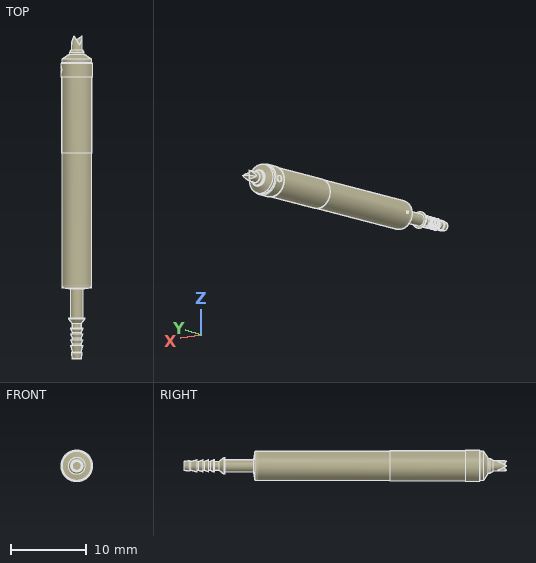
import cadquery as cq
import math

length = 42.7

neck_radius = 0.6
barb_radius = 0.8
barb_pitch = 0.75
barb_cone_length = 0.55
barb_count = 4
last_barb_gap = 0.13
first_barb_land = 0.13
first_barb_face_y = 4.05
end_barb_diameter = 1.4
end_barb_radius = end_barb_diameter / 2
end_barb_land = 0.13
end_barb_face_y = 0.8

stem_diameter = 1.65
stem_radius = stem_diameter / 2
flange_radius = 1.1
flange_width = 0.13
flange_front_y = 5.42
flange_cone_length = 0.65

barrel_end_cone_length = 0.15
barrel_rear_y = 9.4
barrel_radius = 1.95
barrel_chamfer_depth = 0.05
barrel_chamfer_length = 0.25

front_barrel_y = 27.25
front_barrel_radius = 2.0
collar_radius = 2.1
collar_rear_y = 37.28
collar_length = 1.8
collar_bevel_length = 0.13

nose_radius = 1.95
shoulder_y = 39.63
nose_face_y = 40.22
nose_face_radius = 1.1
bushing_radius = 1.0
bushing_length = 0.25
bushing_tip_radius = 0.75
plunger_base_y = 40.85
plunger_diameter = 1.4
plunger_radius = plunger_diameter / 2

tooth_count = 3
notch_slope = 45.0

collar_dimple_radius = 0.43
collar_dimple_y = 38.25
rear_dimple_radius = 0.15
rear_dimple_y = 10.4
dimple_depth = 0.13


def turned_profile():
    """Half section as (radius, y) points, from the tail to the crown."""
    points = [(0, 0), (neck_radius, 0)]

    points += [
        (end_barb_radius, end_barb_face_y - end_barb_land),
        (end_barb_radius, end_barb_face_y),
        (neck_radius, end_barb_face_y),
    ]

    for index in reversed(range(barb_count)):
        face_y = first_barb_face_y - index * barb_pitch
        is_last = index == barb_count - 1
        cone_end_y = end_barb_face_y + last_barb_gap if is_last else face_y - barb_cone_length
        points.append((neck_radius, cone_end_y))
        if index == 0:
            points.append((barb_radius, face_y - first_barb_land))
        points += [(barb_radius, face_y), (neck_radius, face_y)]

    flange_rear_y = flange_front_y - flange_width
    points += [
        (neck_radius, flange_rear_y - flange_cone_length),
        (flange_radius, flange_rear_y),
        (flange_radius, flange_front_y),
        (stem_radius, flange_front_y),
        (stem_radius, barrel_rear_y - barrel_end_cone_length),
    ]

    points += [
        (barrel_radius - barrel_chamfer_depth, barrel_rear_y),
        (barrel_radius, barrel_rear_y + barrel_chamfer_length),
        (barrel_radius, front_barrel_y),
        (front_barrel_radius, front_barrel_y),
        (front_barrel_radius, collar_rear_y),
    ]

    collar_front_y = collar_rear_y + collar_length
    points += [
        (collar_radius, collar_rear_y),
        (collar_radius, collar_front_y),
        (nose_radius, collar_front_y + collar_bevel_length),
        (nose_radius, shoulder_y),
        (nose_face_radius, nose_face_y),
        (bushing_radius, nose_face_y),
        (bushing_radius, nose_face_y + bushing_length),
        (bushing_tip_radius, plunger_base_y),
        (plunger_radius, plunger_base_y),
        (plunger_radius, length),
        (0, length),
    ]
    return points


def crown_notch(angle):
    """V-shaped cutter whose valley line runs out and down in the direction `angle` from +X toward +Z."""
    slope = math.radians(notch_slope)
    half_spacing = math.pi / tooth_count
    centre_depth = plunger_radius * (
        math.sin(half_spacing) / math.cos(slope) - math.tan(slope) * math.cos(half_spacing)
    )
    reach = 4 * plunger_radius

    wedge = (
        cq.Workplane("XY")
        .polyline([(0, 0), (reach, reach), (-reach, reach)])
        .close()
        .extrude(reach, both=True)
    )
    wedge = wedge.rotate((0, 0, 0), (0, 1, 0), 90)
    wedge = wedge.rotate((0, 0, 0), (0, 0, 1), -notch_slope)
    wedge = wedge.rotate((0, 0, 0), (0, 1, 0), -angle)
    return wedge.translate((0, length - centre_depth, 0))


def side_dimple(radius, y, surface_radius):
    """Round, flat-bottomed cutter for a shallow dimple in the -X side."""
    floor_x = dimple_depth - surface_radius
    return cq.Workplane("YZ", origin=(floor_x, y, 0)).circle(radius).extrude(-surface_radius)


result = cq.Workplane("ZY").polyline(turned_profile()).close().revolve(360, (0, 0, 0), (0, 1, 0))

for tooth in range(tooth_count):
    result = result.cut(crown_notch((tooth + 0.5) * 360 / tooth_count))

result = result.cut(side_dimple(collar_dimple_radius, collar_dimple_y, collar_radius))
result = result.cut(side_dimple(rear_dimple_radius, rear_dimple_y, barrel_radius))